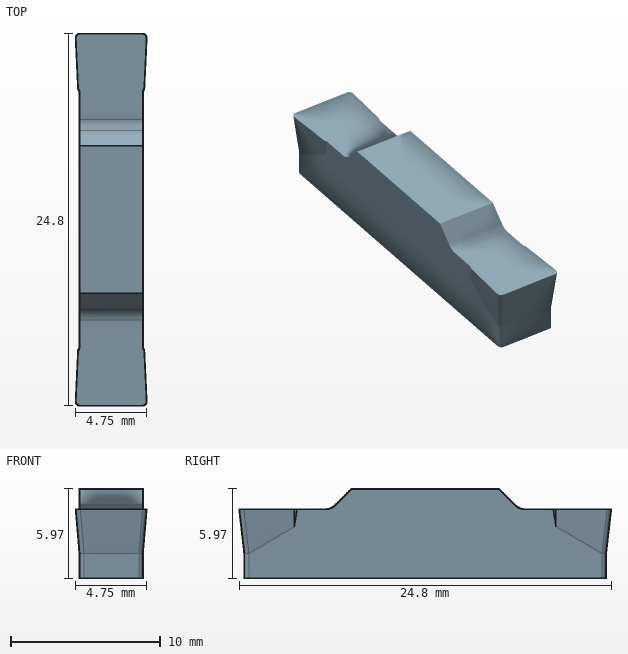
import cadquery as cq
import math


overall_length = 24.83
overall_width = 4.75
overall_height = 5.97

body_width = 4.25
seat_height = 4.62
crown_length = 9.84
crown_slope = math.radians(45)
crown_root_radius = 1.0

clearance_height = 1.68
clearance_setback = 0.34
corner_radius = 0.3
flare_length = 3.69
flare_foot_height = 3.47
runout_length = 0.18
tail_length = 0.4

half_length = overall_length / 2
half_width = overall_width / 2
half_body_width = body_width / 2
half_crown = crown_length / 2
half_body_length = half_length - clearance_setback
slope_foot = half_crown + (overall_height - seat_height) / math.tan(crown_slope)

flank_line_slope = (flare_foot_height - clearance_height) / (
    flare_length - clearance_setback - corner_radius
)
flank_lean = (half_width - half_body_width) / (
    seat_height - clearance_height + flank_line_slope * clearance_setback
)
flank_taper = flank_lean * flank_line_slope
runout_taper = flank_lean * (seat_height - flare_foot_height) / runout_length


def make_body():
    """Straight body with the raised crown and rounded vertical corners."""
    profile = [
        (-half_body_length, 0),
        (half_body_length, 0),
        (half_body_length, seat_height),
        (slope_foot, seat_height),
        (half_crown, overall_height),
        (-half_crown, overall_height),
        (-slope_foot, seat_height),
        (-half_body_length, seat_height),
    ]
    body = cq.Workplane("YZ").polyline(profile).close().extrude(half_body_width, both=True)
    body = body.edges("|Z").fillet(corner_radius)
    for side in (-1, 1):
        root = cq.selectors.NearestToPointSelector((0, side * slope_foot, seat_height))
        body = body.edges("|X").edges(root).fillet(crown_root_radius)
    return body


def flare_section(height, tip, nose_half_width):
    """Horizontal outline of the -Y flare, with its end face at Y = -tip."""
    nose_y = -tip + corner_radius
    back_y = -half_length + flare_length
    tail_y = back_y + tail_length
    back_half_width = nose_half_width - flank_taper * (back_y - nose_y)
    tail_half_width = back_half_width - runout_taper * tail_length
    face_half_width = nose_half_width - corner_radius
    arc_inset = corner_radius * (1 - math.sqrt(0.5))
    arc_x = nose_half_width - arc_inset
    arc_y = -tip + arc_inset
    outline = (
        cq.Workplane("XY", origin=(0, 0, height))
        .moveTo(-face_half_width, -tip)
        .lineTo(face_half_width, -tip)
        .threePointArc((arc_x, arc_y), (nose_half_width, nose_y))
        .lineTo(back_half_width, back_y)
        .lineTo(tail_half_width, tail_y)
        .lineTo(-tail_half_width, tail_y)
        .lineTo(-back_half_width, back_y)
        .lineTo(-nose_half_width, nose_y)
        .threePointArc((-arc_x, arc_y), (-face_half_width, -tip))
        .close()
    )
    return outline.val()


def make_flare():
    """Flared cutting end on the -Y side."""
    lower = flare_section(clearance_height, half_body_length, half_body_width)
    upper = flare_section(seat_height, half_length, half_width)
    return cq.Workplane(cq.Solid.makeLoft([lower, upper], True))


flare = make_flare()
result = make_body().union(flare).union(flare.mirror("XZ")).clean()